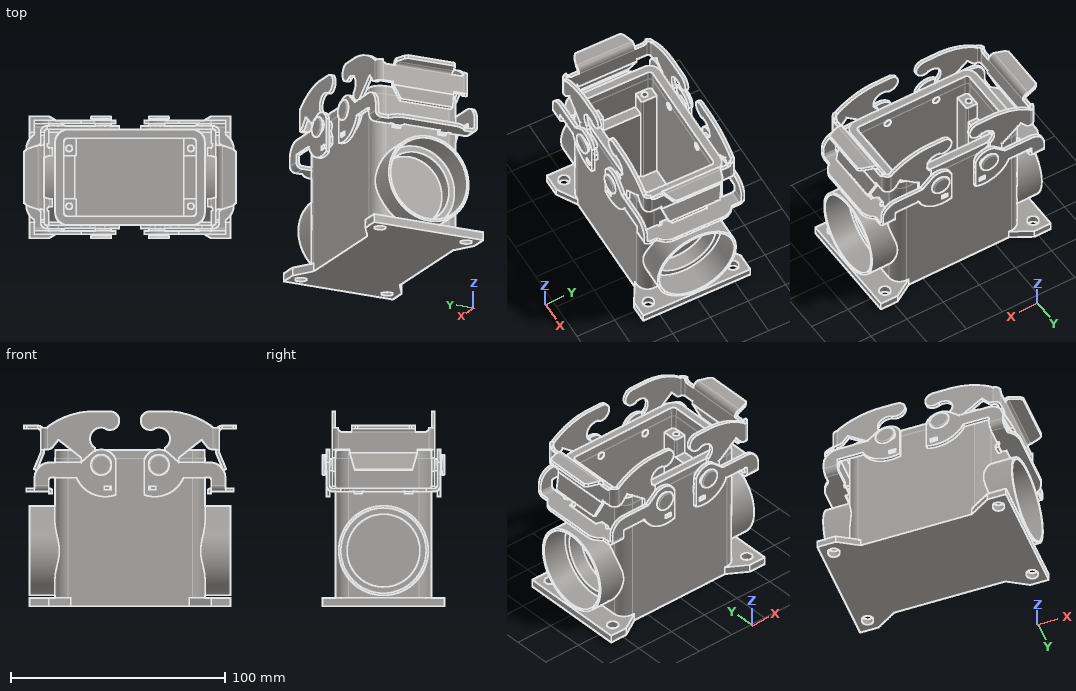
import cadquery as cq
import math


OVERALL_LENGTH = 98.97
BODY_LENGTH = 70.0
BODY_WIDTH = 44.8
BODY_HEIGHT = 73.0
BODY_CORNER_RADIUS = 6.0
RIM_HEIGHT = 4.0
RIM_INSET = 0.15

BASE_LENGTH = 94.0
BASE_WIDTH = 57.0
BASE_THICKNESS = 4.0
EAR_FLAT_END_X = 37.8
EAR_ROOT_X = 27.7
MOUNT_HOLE_X = 41.0
MOUNT_HOLE_Y = 22.5
MOUNT_HOLE_DIAMETER = 5.5

CAVITY_LENGTH = 61.6
CAVITY_WIDTH = 36.2
CAVITY_CORNER_RADIUS = 1.6
CAVITY_LIP_DEPTH = 4.6
CAVITY_LIP_DRAFT = 2.0
FLOOR_Z = BASE_THICKNESS
LEDGE_Z = 51.0
LEFT_WALL_X = -25.8
RIGHT_WALL_X = 25.0
SCREW_POST_FACE_X = 25.0
SCREW_POST_FACE_Y = 10.0
SCREW_POST_TOP_Z = 61.0
SCREW_POST_EDGE_RADIUS = 0.9
SCREW_HOLE_X = 28.4
SCREW_HOLE_Y = 13.5
SCREW_HOLE_DIAMETER = 3.0
SCREW_HOLE_DEPTH = 8.0

PORT_Z = 26.0
PORT_DIAMETER = 41.8
PORT_BORE_DIAMETER = 39.8
PORT_BORE_DEPTH = 12.9
PORT_RECESS_DIAMETER = 34.0
PORT_RECESS_END_X = 26.8

PIVOT_X = -13.45
PIVOT_Z = 66.0
PIN_HEAD_DIAMETER = 9.6
PIN_HEAD_THICKNESS = 1.3
PIN_HEAD_EDGE_RADIUS = 0.6
PIN_COLLAR_LENGTH = 7.4
PIN_COLLAR_HEIGHT = 5.6
PIN_SHANK_DIAMETER = 3.6
PIN_END_RECESS = 0.3

SHEET = 1.6
BEND_INNER = 1.4
BEND_OUTER = BEND_INNER + SHEET

HOOK_PLATE_IN = BODY_WIDTH / 2
HOOK_PLATE_OUT = HOOK_PLATE_IN + SHEET
HOOK_WALL_OUT_X = -41.7
HOOK_WALL_IN_X = HOOK_WALL_OUT_X + SHEET
HOOK_BEND_X = HOOK_WALL_OUT_X + BEND_OUTER
HOOK_BEND_Y = HOOK_PLATE_OUT - BEND_OUTER
HOOK_WALL_TOP_Z = 83.4
HOOK_WALL_BOTTOM_Z = 73.1
HOOK_TOP_Z = 91.0
HOOK_TIP_RADIUS = 4.4
HOOK_TIP_X = -9.4
HOOK_TIP_Z = HOOK_TOP_Z - HOOK_TIP_RADIUS
MOUTH_RADIUS = 5.15
MOUTH_Z = 78.2
HOOK_BACK_START = (-37.6, 84.4)
HOOK_BACK_MIDDLE = (-29.0, 88.9)
HOOK_BACK_END_X = -19.0
BARB_MIDDLE = (-10.7, 82.4)
BARB_END = (-11.7, 83.0)
MOUTH_END = (-17.5, 75.0)
STEM_RIGHT_X = -16.3
STEM_RIGHT_TOP_Z = 73.9
STEM_RIGHT_BOTTOM_Z = 71.0
STEM_LEFT_X = -22.8
STEM_LEFT_TOP_Z = 69.4
STEM_LEFT_BOTTOM_Z = 63.0
FOOT_SHOULDER = (-11.3, 66.0)
FOOT_X = -8.3
FOOT_TOP_Z = 60.4
FOOT_BOTTOM_Z = 56.9
FOOT_ARC_MIDDLE = (-15.0, 56.2)
UNDERCUT_PEAK = (-33.4, 77.6)
UNDERCUT_FOOT = (-36.2, 74.1)
UNDERCUT_ARC_MIDDLE = (-37.2, 73.4)

FLANGE_TOP_Z = 84.4
FLANGE_END_X = -OVERALL_LENGTH / 2
FLANGE_BEND_X = HOOK_WALL_IN_X - BEND_OUTER
FLANGE_BEND_Z = FLANGE_TOP_Z - BEND_OUTER
FLANGE_ROOT_Y = 14.9
FLANGE_SHOULDER_X = -48.1
FLANGE_SHOULDER_Y = 13.2
FLANGE_END_Y = 12.0
NOTCH_OUT_Y = 20.6
NOTCH_SLOPE = 0.9

SKIRT_BEND_Z = 71.6
SKIRT_BOTTOM_Z = 64.0
SKIRT_ANGLE = 23.0
SKIRT_TOP_Y = 15.8
SKIRT_BOTTOM_Y = 13.3

LEVER_PLATE_IN = 25.0
LEVER_PLATE_OUT = LEVER_PLATE_IN + SHEET
LEVER_OUT_X = -44.6
LEVER_IN_X = -37.8
LEVER_ARM_TOP_Z = 67.2
LEVER_ARM_BOTTOM_Z = 60.0
LEVER_ELBOW_RADIUS = 7.4
LEVER_ELBOW_INNER_RADIUS = 0.8
LEVER_HUB_RADIUS = 7.2
LEVER_HUB_ANGLE = 120.0
LEVER_FACE_X = -6.6
CROSSBAR_BOTTOM_Z = 53.5
CROSSBAR_TOP_Z = CROSSBAR_BOTTOM_Z + SHEET
LEVER_BEND_Z = CROSSBAR_BOTTOM_Z + BEND_OUTER
LEVER_BEND_Y = LEVER_PLATE_OUT - BEND_OUTER
CAM_LEFT_X = -25.0
CAM_RIGHT_Z = 52.0
CAM_MIDDLE = (-18.1, 52.7)
WINDOW_X = -10.35
WINDOW_Z = 55.2
WINDOW_LENGTH = 3.3
WINDOW_HEIGHT = 1.7
TONGUE_LENGTH = 2.6
TONGUE_THICKNESS = 1.2

CROSSBAR_EDGE_X = -48.5
CROSSBAR_EDGE_Y = 14.0
CROSSBAR_ARC_MIDDLE = (-47.9, 16.0)
CROSSBAR_ARC_END = (-46.6, 18.2)
CROSSBAR_FLARE_Y = 20.0
CROSSBAR_RECESS_X = -40.2
CROSSBAR_RECESS_Y = 9.3
TAB_OUT_Y = 13.7
TAB_IN_Y = 10.0
TAB_END_X = -36.2
TAB_BOTTOM_Z = 52.6
TAB_NOTCH_X = -38.6
TAB_NOTCH_Y = 15.7
TAB_NOTCH_SLOPE = 0.8
TAB_BEND_RADIUS = 1.5


def block(x_range, y_range, z_range):
    """Box between the given limits."""
    (x0, x1), (y0, y1), (z0, z1) = x_range, y_range, z_range
    return cq.Workplane("XY").box(x1 - x0, y1 - y0, z1 - z0, centered=False).translate((x0, y0, z0))


def rod_x(diameter, x0, x1):
    """Cylinder along X on the axis of the cable entries."""
    return cq.Workplane("YZ").center(0, PORT_Z).circle(diameter / 2).extrude(x1 - x0).translate((x0, 0, 0))


def rod_y(diameter, y0, y1):
    """Cylinder on the pivot axis between two depths on the -Y side."""
    circle = cq.Workplane("XZ").center(PIVOT_X, PIVOT_Z).circle(diameter / 2)
    return circle.extrude(y1 - y0).translate((0, -y0, 0))


def plate(outline, y_in, y_out):
    """Sheet on the -Y side from a closed XZ outline, y_in and y_out measured from the middle."""
    return outline.close().extrude(y_out - y_in).translate((0, -y_in, 0))


def bend(base, center, angle, length):
    """Quarter sheet bend about center, from angle (degrees) to angle + 90, extruded along base's normal."""

    def at(radius, turn):
        theta = math.radians(angle + turn)
        return (center[0] + radius * math.cos(theta), center[1] + radius * math.sin(theta))

    return (
        base.moveTo(*at(BEND_OUTER, 0))
        .threePointArc(at(BEND_OUTER, 45), at(BEND_OUTER, 90))
        .lineTo(*at(BEND_INNER, 90))
        .threePointArc(at(BEND_INNER, 45), at(BEND_INNER, 0))
        .close()
        .extrude(length)
    )


def both_sides(half):
    """A half and its mirror image across the XZ plane."""
    return half.union(half.mirror("XZ"))


def make_base():
    half_length = BASE_LENGTH / 2
    half_width = BASE_WIDTH / 2
    quarter = [
        (0, 0),
        (half_length, 0),
        (half_length, half_width),
        (EAR_FLAT_END_X, half_width),
        (EAR_ROOT_X, BODY_WIDTH / 2),
        (0, BODY_WIDTH / 2),
    ]
    half = cq.Workplane("XY").polyline(quarter).close().extrude(BASE_THICKNESS)
    half = half.union(half.mirror("YZ"))
    holes = (
        cq.Workplane("XY")
        .rect(2 * MOUNT_HOLE_X, 2 * MOUNT_HOLE_Y, forConstruction=True)
        .vertices()
        .circle(MOUNT_HOLE_DIAMETER / 2)
        .extrude(BASE_THICKNESS)
    )
    return both_sides(half).cut(holes)


def make_shell():
    """Outer block of the housing with its drafted rim."""
    column = cq.Workplane("XY").rect(BODY_LENGTH, BODY_WIDTH).extrude(BODY_HEIGHT - RIM_HEIGHT)
    column = column.edges("|Z").fillet(BODY_CORNER_RADIUS)
    draft = math.degrees(math.atan2(RIM_INSET, RIM_HEIGHT))
    rim = column.faces(">Z").wires().toPending().workplane().extrude(RIM_HEIGHT, combine=False, taper=draft)
    return column.union(rim)


def make_cavity():
    """Space inside the housing, with the ledges and screw posts left standing."""
    half_length = CAVITY_LENGTH / 2
    half_width = CAVITY_WIDTH / 2
    lip_z = BODY_HEIGHT - CAVITY_LIP_DEPTH
    upper = block((-half_length, half_length), (-half_width, half_width), (LEDGE_Z, lip_z))
    upper = upper.edges("|Z").fillet(CAVITY_CORNER_RADIUS)
    lip = upper.faces(">Z").wires().toPending().workplane().extrude(
        CAVITY_LIP_DEPTH, combine=False, taper=-CAVITY_LIP_DRAFT
    )
    lower = block((LEFT_WALL_X, RIGHT_WALL_X), (-half_width, half_width), (FLOOR_Z, LEDGE_Z))
    cavity = upper.union(lip).union(lower)
    for sx in (-1, 1):
        for sy in (-1, 1):
            post = block(
                (SCREW_POST_FACE_X, half_length),
                (SCREW_POST_FACE_Y, half_width),
                (FLOOR_Z, SCREW_POST_TOP_Z),
            ).edges("|Z and <X and <Y").fillet(SCREW_POST_EDGE_RADIUS)
            if sx < 0:
                post = post.mirror("YZ")
            if sy < 0:
                post = post.mirror("XZ")
            cavity = cavity.cut(post)
    screw_holes = (
        cq.Workplane("XY", origin=(0, 0, SCREW_POST_TOP_Z))
        .rect(2 * SCREW_HOLE_X, 2 * SCREW_HOLE_Y, forConstruction=True)
        .vertices()
        .circle(SCREW_HOLE_DIAMETER / 2)
        .extrude(-SCREW_HOLE_DEPTH)
    )
    return cavity.union(screw_holes)


def make_housing():
    port_end = BASE_LENGTH / 2
    bore_end = port_end - PORT_BORE_DEPTH
    housing = make_shell().union(make_base()).union(rod_x(PORT_DIAMETER, -port_end, port_end))
    bore = rod_x(PORT_BORE_DIAMETER, bore_end, port_end)
    entry = bore.union(rod_x(PORT_RECESS_DIAMETER, PORT_RECESS_END_X, bore_end))
    housing = housing.cut(make_cavity()).cut(entry).cut(entry.mirror("YZ"))
    pin_recess = rod_y(PIN_SHANK_DIAMETER, CAVITY_WIDTH / 2, CAVITY_WIDTH / 2 + PIN_END_RECESS)
    recesses = both_sides(pin_recess)
    return housing.cut(recesses).cut(recesses.mirror("YZ"))


def make_pin():
    """Headed pivot pin on the -Y side; its shank is merged with the housing wall."""
    head_y = BASE_WIDTH / 2 - PIN_HEAD_THICKNESS
    collar_x = PIVOT_X + (PIN_COLLAR_LENGTH - PIN_COLLAR_HEIGHT) / 2
    collar = (
        cq.Workplane("XZ", origin=(0, -HOOK_PLATE_IN, 0))
        .center(collar_x, PIVOT_Z)
        .slot2D(PIN_COLLAR_LENGTH, PIN_COLLAR_HEIGHT)
        .extrude(head_y - HOOK_PLATE_IN)
    )
    head = rod_y(PIN_HEAD_DIAMETER, head_y, BASE_WIDTH / 2)
    return collar.union(head.edges("%CIRCLE").fillet(PIN_HEAD_EDGE_RADIUS))


def make_hook_plate():
    """Hook on the -Y side, from the bend of the wall to the foot below the pivot."""
    mouth_diagonal = MOUTH_RADIUS * math.sqrt(0.5)
    outline = (
        cq.Workplane("XZ")
        .moveTo(HOOK_BEND_X, HOOK_WALL_BOTTOM_Z)
        .lineTo(HOOK_BEND_X, HOOK_WALL_TOP_Z)
        .lineTo(*HOOK_BACK_START)
        .threePointArc(HOOK_BACK_MIDDLE, (HOOK_BACK_END_X, HOOK_TOP_Z))
        .lineTo(HOOK_TIP_X, HOOK_TOP_Z)
        .threePointArc((HOOK_TIP_X + HOOK_TIP_RADIUS, HOOK_TIP_Z), (HOOK_TIP_X, HOOK_TIP_Z - HOOK_TIP_RADIUS))
        .threePointArc(BARB_MIDDLE, BARB_END)
        .threePointArc((PIVOT_X - mouth_diagonal, MOUTH_Z + mouth_diagonal), MOUTH_END)
        .lineTo(STEM_RIGHT_X, STEM_RIGHT_TOP_Z)
        .lineTo(STEM_RIGHT_X, STEM_RIGHT_BOTTOM_Z)
        .lineTo(*FOOT_SHOULDER)
        .lineTo(FOOT_X, FOOT_TOP_Z)
        .lineTo(FOOT_X, FOOT_BOTTOM_Z)
        .threePointArc(FOOT_ARC_MIDDLE, (STEM_LEFT_X, STEM_LEFT_BOTTOM_Z))
        .lineTo(STEM_LEFT_X, STEM_LEFT_TOP_Z)
        .lineTo(*UNDERCUT_PEAK)
        .lineTo(*UNDERCUT_FOOT)
        .threePointArc(UNDERCUT_ARC_MIDDLE, (HOOK_BEND_X, HOOK_WALL_BOTTOM_Z))
    )
    return plate(outline, HOOK_PLATE_IN, HOOK_PLATE_OUT)


def make_hook_wall():
    """Wall joining the two hooks, with its corner bends and the notches beside the flange."""
    outline = [
        (0, HOOK_WALL_BOTTOM_Z),
        (HOOK_BEND_Y, HOOK_WALL_BOTTOM_Z),
        (HOOK_BEND_Y, FLANGE_BEND_Z + NOTCH_SLOPE),
        (NOTCH_OUT_Y - NOTCH_SLOPE, FLANGE_BEND_Z),
        (0, FLANGE_BEND_Z),
    ]
    wall = cq.Workplane("YZ").polyline(outline).close().extrude(SHEET).translate((HOOK_WALL_OUT_X, 0, 0))
    wall = both_sides(wall)
    corner = bend(
        cq.Workplane("XY", origin=(0, 0, HOOK_WALL_BOTTOM_Z)),
        (HOOK_BEND_X, HOOK_BEND_Y),
        90,
        HOOK_WALL_TOP_Z - HOOK_WALL_BOTTOM_Z,
    )
    return wall.union(both_sides(corner))


def make_flange():
    """Thumb flange bent outward from the top of the hook wall."""
    half = [
        (FLANGE_BEND_X, 0),
        (FLANGE_END_X, 0),
        (FLANGE_END_X, FLANGE_END_Y),
        (FLANGE_SHOULDER_X, FLANGE_SHOULDER_Y),
        (FLANGE_BEND_X, FLANGE_ROOT_Y),
    ]
    leaf = cq.Workplane("XY", origin=(0, 0, FLANGE_TOP_Z - SHEET)).polyline(half).close().extrude(SHEET)
    root = bend(
        cq.Workplane("XZ", origin=(0, FLANGE_ROOT_Y, 0)),
        (FLANGE_BEND_X, FLANGE_BEND_Z),
        0,
        2 * FLANGE_ROOT_Y,
    )
    return both_sides(leaf).union(root)


def make_skirt():
    """Trapezoidal skirt leaning outward below the hook wall."""
    drop = SKIRT_BEND_Z - SKIRT_BOTTOM_Z
    lean = drop * math.tan(math.radians(SKIRT_ANGLE))
    end_rise = SHEET * math.sin(math.radians(SKIRT_ANGLE))
    end_run = SHEET * math.cos(math.radians(SKIRT_ANGLE))
    tip_x = HOOK_WALL_OUT_X - lean
    side = [
        (HOOK_WALL_OUT_X, HOOK_WALL_BOTTOM_Z),
        (HOOK_WALL_OUT_X, SKIRT_BEND_Z),
        (tip_x, SKIRT_BOTTOM_Z),
        (tip_x + end_run, SKIRT_BOTTOM_Z - end_rise),
        (HOOK_WALL_IN_X, SKIRT_BEND_Z),
        (HOOK_WALL_IN_X, HOOK_WALL_BOTTOM_Z),
    ]
    strip = cq.Workplane("XZ").polyline(side).close().extrude(SKIRT_TOP_Y, both=True)
    front = [
        (-SKIRT_TOP_Y, HOOK_WALL_BOTTOM_Z),
        (-SKIRT_TOP_Y, SKIRT_BEND_Z),
        (-SKIRT_BOTTOM_Y, SKIRT_BOTTOM_Z - end_rise),
        (SKIRT_BOTTOM_Y, SKIRT_BOTTOM_Z - end_rise),
        (SKIRT_TOP_Y, SKIRT_BEND_Z),
        (SKIRT_TOP_Y, HOOK_WALL_BOTTOM_Z),
    ]
    return strip.intersect(cq.Workplane("YZ").polyline(front).close().extrude(BODY_LENGTH, both=True))


def make_lever_plate():
    """Locking lever plate on the -Y side: elbow, arm, hub around the pivot and cam below it."""
    elbow = LEVER_ELBOW_RADIUS * (1 - math.sqrt(0.5))
    inner = LEVER_ELBOW_INNER_RADIUS
    inner_mid = inner * (1 - math.sqrt(0.5))
    hub_z = PIVOT_Z + math.sqrt(LEVER_HUB_RADIUS**2 - (LEVER_FACE_X - PIVOT_X) ** 2)
    hub_left = math.radians(LEVER_HUB_ANGLE)
    hub_left_point = (
        PIVOT_X + LEVER_HUB_RADIUS * math.cos(hub_left),
        PIVOT_Z + LEVER_HUB_RADIUS * math.sin(hub_left),
    )
    outline = (
        cq.Workplane("XZ")
        .moveTo(LEVER_OUT_X, LEVER_BEND_Z)
        .lineTo(LEVER_OUT_X, LEVER_ARM_TOP_Z - LEVER_ELBOW_RADIUS)
        .threePointArc(
            (LEVER_OUT_X + elbow, LEVER_ARM_TOP_Z - elbow),
            (LEVER_OUT_X + LEVER_ELBOW_RADIUS, LEVER_ARM_TOP_Z),
        )
        .lineTo(STEM_LEFT_X, LEVER_ARM_TOP_Z)
        .lineTo(*hub_left_point)
        .threePointArc((PIVOT_X, PIVOT_Z + LEVER_HUB_RADIUS), (LEVER_FACE_X, hub_z))
        .lineTo(LEVER_FACE_X, CAM_RIGHT_Z)
        .threePointArc(CAM_MIDDLE, (CAM_LEFT_X, LEVER_ARM_BOTTOM_Z))
        .lineTo(LEVER_IN_X + inner, LEVER_ARM_BOTTOM_Z)
        .threePointArc(
            (LEVER_IN_X + inner_mid, LEVER_ARM_BOTTOM_Z - inner_mid),
            (LEVER_IN_X, LEVER_ARM_BOTTOM_Z - inner),
        )
        .lineTo(LEVER_IN_X, LEVER_BEND_Z)
    )
    window = cq.Workplane("XZ").center(WINDOW_X, WINDOW_Z).rect(WINDOW_LENGTH, WINDOW_HEIGHT)
    lever = plate(outline, LEVER_PLATE_IN, LEVER_PLATE_OUT).cut(window.extrude(LEVER_PLATE_OUT))
    tongue_x = WINDOW_X - WINDOW_LENGTH / 2
    tongue = block(
        (tongue_x, tongue_x + TONGUE_LENGTH),
        (-LEVER_PLATE_IN - TONGUE_THICKNESS, -LEVER_PLATE_IN),
        (WINDOW_Z - WINDOW_HEIGHT / 2, WINDOW_Z + WINDOW_HEIGHT / 2),
    )
    return lever.union(tongue)


def make_crossbar():
    """Bar joining the two lever plates, with its corner bends and down-turned tabs."""
    half = (
        cq.Workplane("XY", origin=(0, 0, CROSSBAR_BOTTOM_Z))
        .moveTo(CROSSBAR_RECESS_X, 0)
        .lineTo(CROSSBAR_EDGE_X, 0)
        .lineTo(CROSSBAR_EDGE_X, CROSSBAR_EDGE_Y)
        .threePointArc(CROSSBAR_ARC_MIDDLE, CROSSBAR_ARC_END)
        .lineTo(LEVER_OUT_X, CROSSBAR_FLARE_Y)
        .lineTo(LEVER_OUT_X, LEVER_BEND_Y)
        .lineTo(LEVER_IN_X, LEVER_BEND_Y)
        .lineTo(LEVER_IN_X, TAB_NOTCH_Y)
        .lineTo(TAB_NOTCH_X, TAB_NOTCH_Y)
        .lineTo(TAB_NOTCH_X, TAB_OUT_Y + TAB_NOTCH_SLOPE)
        .lineTo(LEVER_IN_X, TAB_OUT_Y)
        .lineTo(LEVER_IN_X, TAB_IN_Y)
        .lineTo(CROSSBAR_RECESS_X, CROSSBAR_RECESS_Y)
        .close()
        .extrude(SHEET)
    )
    tab = block((LEVER_IN_X, TAB_END_X), (TAB_IN_Y, TAB_OUT_Y), (TAB_BOTTOM_Z, CROSSBAR_TOP_Z))
    tab = tab.edges("|Y and >X and >Z").fillet(TAB_BEND_RADIUS)
    corner = bend(
        cq.Workplane("YZ", origin=(LEVER_OUT_X, 0, 0)),
        (LEVER_BEND_Y, LEVER_BEND_Z),
        270,
        LEVER_IN_X - LEVER_OUT_X,
    )
    return both_sides(half.union(tab).union(corner))


def make_lever_set():
    """Everything that turns on the two pins of the -X side, together with the pins."""
    side = make_hook_plate().union(make_lever_plate()).union(make_pin())
    parts = both_sides(side)
    for part in (make_hook_wall(), make_flange(), make_skirt(), make_crossbar()):
        parts = parts.union(part)
    return parts


lever_set = make_lever_set()
result = make_housing().union(lever_set).union(lever_set.mirror("YZ"))